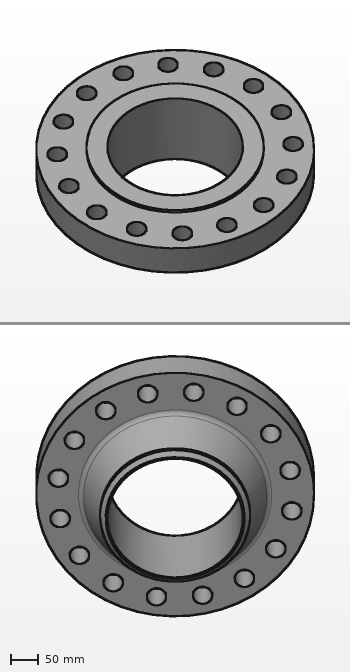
import cadquery as cq

flange_diameter = 508.0
flange_thickness = 63.5
face_diameter = 324.0
face_height = 6.0
total_height = 158.5

hub_base_diameter = 340.0
neck_diameter = 274.5
neck_top = 15.0
bevel_height = 8.0
bevel_width = 10.0
hub_fillet = 10.0
bore_diameter = 247.5

bolt_count = 16
bolt_circle_diameter = 432.0
bolt_hole_diameter = 35.5

flange_top = total_height - face_height
flange_bottom = flange_top - flange_thickness
neck_radius = neck_diameter / 2


def make_flange():
    disc = (
        cq.Workplane("XY")
        .workplane(offset=flange_bottom)
        .circle(flange_diameter / 2)
        .extrude(flange_thickness)
    )
    face = (
        cq.Workplane("XY")
        .workplane(offset=flange_top)
        .circle(face_diameter / 2)
        .extrude(face_height)
    )
    return disc.union(face)


def make_hub():
    """Revolve the weld bevel, the straight neck and the taper up to the flange."""
    return (
        cq.Workplane("XZ")
        .moveTo(0, 0)
        .lineTo(neck_radius - bevel_width, 0)
        .lineTo(neck_radius, bevel_height)
        .lineTo(neck_radius, neck_top)
        .lineTo(hub_base_diameter / 2, flange_bottom)
        .lineTo(0, flange_bottom)
        .close()
        .revolve(360, (0, 0), (0, 1))
    )


def round_hub_root(body):
    """Fillet the corner between the hub taper and the underside of the flange."""
    underside_center = (0, 0, flange_bottom)
    underside = body.faces(cq.selectors.NearestToPointSelector(underside_center))
    smallest_radius = cq.selectors.RadiusNthSelector(0)
    return underside.edges(smallest_radius).fillet(hub_fillet)


def make_bore():
    return cq.Workplane("XY").circle(bore_diameter / 2).extrude(total_height)


def make_bolt_holes():
    return (
        cq.Workplane("XY")
        .workplane(offset=flange_bottom)
        .polarArray(bolt_circle_diameter / 2, 0, 360, bolt_count)
        .circle(bolt_hole_diameter / 2)
        .extrude(flange_thickness)
    )


body = round_hub_root(make_flange().union(make_hub()))
result = body.cut(make_bore()).cut(make_bolt_holes())